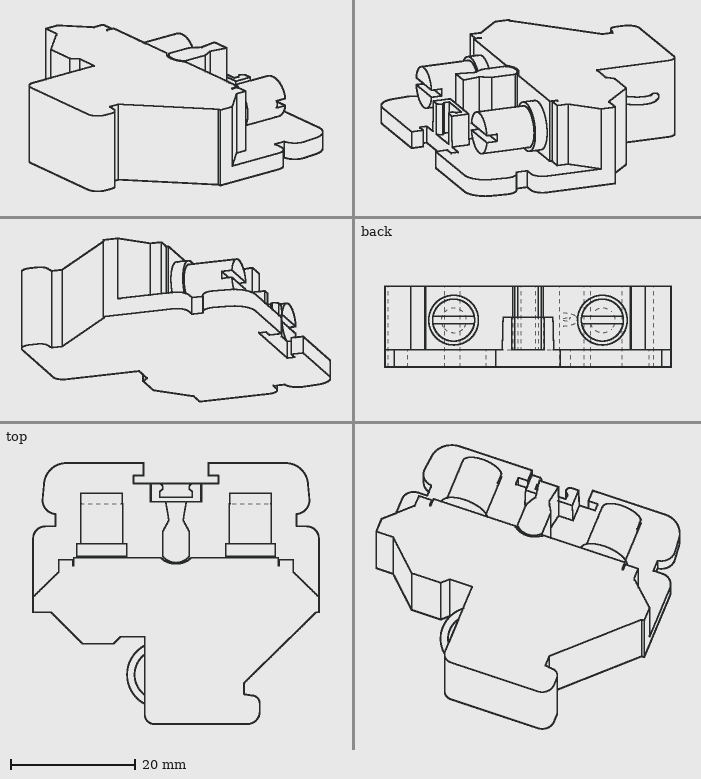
import cadquery as cq
import math

half_width = 23.0
overall_depth = 42.0
overall_height = 13.0
plate_height = 2.8
shoulder_y = 18.0

plate_corner_radius = 2.02
plate_corner_top_y = 31.85
waist_half_width = 19.4
lobe_bottom_y = 33.75
lobe_half_width = 21.5
lobe_straight_y = 36.05
lobe_lower_radius = 2.3
lobe_lean_half_width = 21.25
lobe_upper_y = 38.4
lobe_upper_radius = 3.65
lobe_top_half_width = 17.85
tee_mouth_half_width = 5.2
tee_half_width = 6.8
tee_lip_y = 39.97
tee_floor_y = 38.75

chamfer_low_y = 20.42
ear_half_width = 18.8
ear_low_y = 24.5
ear_top_y = 26.4
block_top_y = 26.73
slit_outer_x = 16.6
slit_width = 0.2
slit_bottom_y = 25.45

foot_left_x = -5.05
foot_right_x = 13.5
foot_left_radius = 1.6
foot_right_radius = 2.02
hook_neck_x = 10.95
hook_neck_top_y = 6.62
hook_neck_low_y = 4.85
hook_bulge_start = (12.1, 4.65)
hook_bulge_middle = (13.1, 4.25)
hook_bulge_end_y = 3.35
flank_top_x = 22.55
belly_y = 12.93
belly_left_x = -15.05
belly_right_x = -10.05
belly_step_y = 14.05

recess_half_width = 2.45
recess_bottom_y = 25.75
key_half_width = 2.1
key_side_low_y = 26.95
key_bottom_y = 26.0
key_side_top_y = 31.0
key_neck_half_width = 1.15
key_neck_y = 32.8
key_head_half_width = 1.65

boss_front_y = 35.8
boss_top_z = 8.0
boss_base_half_width = 4.15
boss_top_half_width = 4.0
pocket_floor_y = 36.52
pocket_half_width = 2.6
pocket_hook_y = 37.4
pocket_neck_half_width = 2.1
pocket_neck_y = 37.8

screw_x = 11.95
screw_z = 7.55
head_diameter = 6.75
collar_diameter = 8.0
shank_diameter = 4.0
shank_low_y = 25.3
collar_low_y = 27.0
collar_top_y = 29.03
head_top_y = 37.15
screw_slot_floor_y = 35.4
screw_slot_width = 1.2

ring_center = (-2.55, 7.95, 7.7)
ring_radius = 4.75
wire_diameter = 1.25
ring_tilt = 7.4


def mirrored(half):
    """Join a right-hand half with its mirror image across X = 0."""
    return half.union(half.mirror("YZ"))


def make_plate():
    half = (
        cq.Workplane("XY")
        .moveTo(0, shoulder_y)
        .lineTo(half_width, shoulder_y)
        .lineTo(half_width, plate_corner_top_y - plate_corner_radius)
        .radiusArc((half_width - plate_corner_radius, plate_corner_top_y), -plate_corner_radius)
        .lineTo(waist_half_width, plate_corner_top_y)
        .lineTo(waist_half_width, lobe_bottom_y)
        .radiusArc((lobe_half_width, lobe_straight_y), -lobe_lower_radius)
        .lineTo(lobe_lean_half_width, lobe_upper_y)
        .radiusArc((lobe_top_half_width, overall_depth), -lobe_upper_radius)
        .lineTo(tee_mouth_half_width, overall_depth)
        .lineTo(tee_mouth_half_width, tee_lip_y)
        .lineTo(tee_half_width, tee_lip_y)
        .lineTo(tee_half_width, tee_floor_y)
        .lineTo(0, tee_floor_y)
        .close()
        .extrude(plate_height)
    )
    return mirrored(half)


def make_block_top():
    slit_inner_x = slit_outer_x - slit_width
    half = (
        cq.Workplane("XY")
        .polyline([
            (0, shoulder_y),
            (half_width, shoulder_y),
            (half_width, chamfer_low_y),
            (ear_half_width, ear_low_y),
            (ear_half_width, ear_top_y),
            (slit_outer_x, ear_top_y),
            (slit_outer_x, slit_bottom_y),
            (slit_inner_x, slit_bottom_y),
            (slit_inner_x, block_top_y),
            (0, block_top_y),
        ])
        .close()
        .extrude(overall_height)
    )
    recess = (
        cq.Workplane("XY")
        .workplane(offset=plate_height)
        .moveTo(-recess_half_width, block_top_y)
        .threePointArc((0, recess_bottom_y), (recess_half_width, block_top_y))
        .close()
        .extrude(overall_height - plate_height)
    )
    return mirrored(half).cut(recess)


def make_foot():
    belly_flank_x = belly_left_x - (shoulder_y - belly_y)
    belly_step_x = belly_right_x + belly_step_y - belly_y
    foot = (
        cq.Workplane("XY")
        .moveTo(belly_flank_x, shoulder_y)
        .lineTo(belly_left_x, belly_y)
        .lineTo(belly_right_x, belly_y)
        .lineTo(belly_step_x, belly_step_y)
        .lineTo(foot_left_x, belly_step_y)
        .lineTo(foot_left_x, 0)
        .lineTo(foot_right_x, 0)
        .lineTo(foot_right_x, hook_bulge_end_y)
        .threePointArc(hook_bulge_middle, hook_bulge_start)
        .lineTo(hook_neck_x, hook_neck_low_y)
        .lineTo(hook_neck_x, hook_neck_top_y)
        .lineTo(flank_top_x, shoulder_y)
        .close()
        .extrude(overall_height)
    )
    middle_z = overall_height / 2
    foot = foot.edges(cq.NearestToPointSelector((foot_left_x, 0, middle_z))).fillet(foot_left_radius)
    return foot.edges(cq.NearestToPointSelector((foot_right_x, 0, middle_z))).fillet(foot_right_radius)


def make_key():
    return (
        cq.Workplane("XY")
        .moveTo(-key_half_width, key_side_low_y)
        .threePointArc((0, key_bottom_y), (key_half_width, key_side_low_y))
        .lineTo(key_half_width, key_side_top_y)
        .lineTo(key_neck_half_width, key_neck_y)
        .lineTo(key_head_half_width, boss_front_y)
        .lineTo(-key_head_half_width, boss_front_y)
        .lineTo(-key_neck_half_width, key_neck_y)
        .lineTo(-key_half_width, key_side_top_y)
        .close()
        .extrude(overall_height)
    )


def make_boss():
    boss = (
        cq.Workplane("XZ", origin=(0, tee_floor_y, 0))
        .polyline([
            (-boss_base_half_width, plate_height),
            (boss_base_half_width, plate_height),
            (boss_top_half_width, boss_top_z),
            (-boss_top_half_width, boss_top_z),
        ])
        .close()
        .extrude(tee_floor_y - boss_front_y)
    )
    flare_width = pocket_half_width - pocket_neck_half_width
    flare_length = tee_floor_y - pocket_neck_y
    flare_middle = (
        pocket_half_width - flare_width * math.sqrt(0.5),
        pocket_neck_y + flare_length * math.sqrt(0.5),
    )
    half_pocket = (
        cq.Workplane("XY")
        .workplane(offset=plate_height)
        .moveTo(0, pocket_floor_y)
        .lineTo(pocket_half_width, pocket_floor_y)
        .lineTo(pocket_half_width, pocket_hook_y)
        .lineTo(pocket_neck_half_width, pocket_neck_y)
        .threePointArc(flare_middle, (pocket_half_width, tee_floor_y))
        .lineTo(0, tee_floor_y)
        .close()
        .extrude(boss_top_z - plate_height)
    )
    return boss.cut(mirrored(half_pocket))


def make_rod(x, diameter, y_start, y_end):
    """Round bar along Y at the screw height."""
    return (
        cq.Workplane("XZ", origin=(x, y_start, screw_z))
        .circle(diameter / 2)
        .extrude(y_start - y_end)
    )


def make_screw(x):
    shank = make_rod(x, shank_diameter, shank_low_y, collar_low_y)
    collar = make_rod(x, collar_diameter, collar_low_y, collar_top_y)
    head = make_rod(x, head_diameter, collar_top_y, head_top_y)
    slot_depth = head_top_y - screw_slot_floor_y
    slot = (
        cq.Workplane("XY")
        .box(head_diameter, slot_depth, screw_slot_width)
        .translate((x, head_top_y - slot_depth / 2, screw_z))
    )
    return shank.union(collar).union(head.cut(slot))


def make_ring():
    ring = cq.Workplane(cq.Solid.makeTorus(ring_radius, wire_diameter / 2))
    return ring.rotate((0, 0, 0), (1, 0, 0), ring_tilt).translate(ring_center)


result = make_plate().union(make_block_top()).union(make_foot()).union(make_key()).union(make_boss())
for side in (-1, 1):
    result = result.union(make_screw(side * screw_x))
result = result.union(make_ring()).clean()